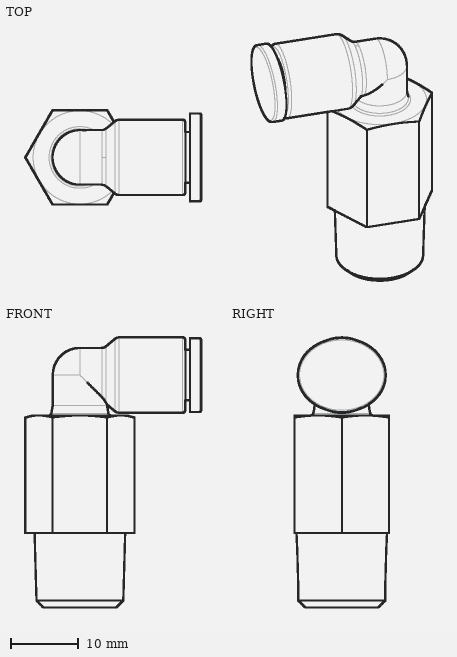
import cadquery as cq
import math

THREAD_TOP = 11.0
HEX_TOP = 28.45
COLLAR_TOP = 29.9
TOTAL_HEIGHT = 40.0

TOTAL_LENGTH = 26.05

THREAD_TOP_RADIUS = 6.7
THREAD_TIP_RADIUS = 6.45
THREAD_CHAMFER = 1.05

HEX_ACROSS_FLATS = 14.0
HEX_CORNER_RADIUS = HEX_ACROSS_FLATS / math.sqrt(3)
HEX_TOP_CIRCLE_RADIUS = 6.9
HEX_BEVEL_ANGLE = math.radians(15)

TUBE_RADIUS = 4.05
COLLAR_TAPER = math.radians(10)
COLLAR_FILLET = 0.3

SOCKET_RADIUS = 5.6
SOCKET_AXIS_Z = TOTAL_HEIGHT - SOCKET_RADIUS
CONE_START = 3.6
CONE_ANGLE = math.radians(40)
CONE_END = CONE_START + (SOCKET_RADIUS - TUBE_RADIUS) / math.tan(CONE_ANGLE)
CONE_FILLET = 1.0
SOCKET_END = 15.6
SOCKET_END_FILLET = 0.4

RING_NECK_RADIUS = 3.75
RING_START = 16.3
RING_END = TOTAL_LENGTH - HEX_CORNER_RADIUS
RING_HALF_WIDTH = 6.5
RING_HALF_HEIGHT = 5.5
RING_FILLET = 0.3


def revolve_about_z(points):
    """Revolve a closed (radius, z) outline about the Z axis."""
    return cq.Workplane("XZ").polyline(points).close().revolve(360, (0, 0, 0), (0, 1, 0))


def thread_stub():
    return revolve_about_z([
        (0, 0),
        (THREAD_TIP_RADIUS - THREAD_CHAMFER, 0),
        (THREAD_TIP_RADIUS, THREAD_CHAMFER),
        (THREAD_TOP_RADIUS, THREAD_TOP),
        (0, THREAD_TOP),
    ])


def hexagon():
    """Hexagonal prism whose top corners are trimmed by a shallow cone."""
    prism = (
        cq.Workplane("XY", origin=(0, 0, THREAD_TOP))
        .polygon(6, 2 * HEX_CORNER_RADIUS)
        .extrude(HEX_TOP - THREAD_TOP)
    )
    bevel_drop = (HEX_CORNER_RADIUS - HEX_TOP_CIRCLE_RADIUS) * math.tan(HEX_BEVEL_ANGLE)
    trimming_cone = revolve_about_z([
        (0, THREAD_TOP),
        (HEX_CORNER_RADIUS, THREAD_TOP),
        (HEX_CORNER_RADIUS, HEX_TOP - bevel_drop),
        (HEX_TOP_CIRCLE_RADIUS, HEX_TOP),
        (0, HEX_TOP),
    ])
    return prism.intersect(trimming_cone)


def upright_tube():
    """Vertical leg of the elbow, widening into a collar that flares onto the hexagon."""
    taper_height = COLLAR_TOP - HEX_TOP - COLLAR_FILLET * (1 - math.sin(COLLAR_TAPER))
    flare_top_z = COLLAR_TOP - taper_height
    flare_top_radius = TUBE_RADIUS + taper_height * math.tan(COLLAR_TAPER)
    flare_center_radius = flare_top_radius + COLLAR_FILLET * math.cos(COLLAR_TAPER)
    flare_center_z = HEX_TOP + COLLAR_FILLET
    half_sweep = (math.pi / 2 - COLLAR_TAPER) / 2
    flare_middle = (
        flare_center_radius - COLLAR_FILLET * math.sin(half_sweep),
        flare_center_z - COLLAR_FILLET * math.cos(half_sweep),
    )
    return (
        cq.Workplane("XZ")
        .moveTo(0, HEX_TOP)
        .lineTo(flare_center_radius, HEX_TOP)
        .threePointArc(flare_middle, (flare_top_radius, flare_top_z))
        .lineTo(TUBE_RADIUS, COLLAR_TOP)
        .lineTo(TUBE_RADIUS, SOCKET_AXIS_Z)
        .lineTo(0, SOCKET_AXIS_Z)
        .close()
        .revolve(360, (0, 0, 0), (0, 1, 0))
    )


def elbow_ball():
    return cq.Workplane("XY", origin=(0, 0, SOCKET_AXIS_Z)).sphere(TUBE_RADIUS)


def edges_at(x, radius):
    """Selector for the circular socket edge at a given X and radius."""
    margin = 0.05
    return cq.selectors.BoxSelector(
        (x - margin, -radius - margin, -radius - margin),
        (x + margin, radius + margin, radius + margin),
        boundingbox=True,
    )


def side_socket():
    """Horizontal leg of the elbow with its flared socket and the ring's neck."""
    socket = (
        cq.Workplane("XZ")
        .polyline([
            (0, 0),
            (0, TUBE_RADIUS),
            (CONE_START, TUBE_RADIUS),
            (CONE_END, SOCKET_RADIUS),
            (SOCKET_END, SOCKET_RADIUS),
            (SOCKET_END, 0),
        ])
        .close()
        .revolve(360, (0, 0, 0), (1, 0, 0))
        .edges(edges_at(CONE_START, TUBE_RADIUS)).fillet(CONE_FILLET)
        .edges(edges_at(CONE_END, SOCKET_RADIUS)).fillet(CONE_FILLET)
        .edges(edges_at(SOCKET_END, SOCKET_RADIUS)).fillet(SOCKET_END_FILLET)
    )
    neck = (
        cq.Workplane("YZ", origin=(SOCKET_END, 0, 0))
        .circle(RING_NECK_RADIUS)
        .extrude(RING_START - SOCKET_END)
    )
    return socket.union(neck).translate((0, 0, SOCKET_AXIS_Z))


def release_ring():
    return (
        cq.Workplane("YZ", origin=(RING_START, 0, SOCKET_AXIS_Z))
        .ellipse(RING_HALF_WIDTH, RING_HALF_HEIGHT)
        .extrude(RING_END - RING_START)
        .faces(">X").edges().fillet(RING_FILLET)
    )


result = (
    thread_stub()
    .union(hexagon())
    .union(upright_tube())
    .union(elbow_ball())
    .union(side_socket())
    .union(release_ring())
)